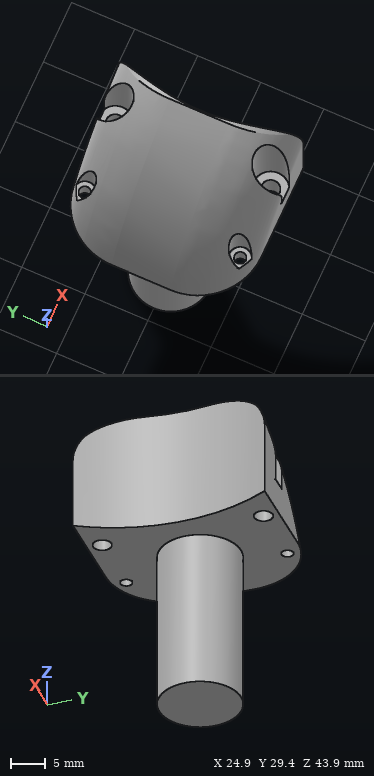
import cadquery as cq
import math

head_length = 24.87
head_width = 29.35
head_height = 18.78
corner_radius = 10.0
hood_radius = 36.85
crest_x = 20.7
half_width = head_width / 2
flat_half_width = half_width - corner_radius

total_height = 43.85
post_diameter = 12.5
post_x = 10.7
post_length = total_height - head_height

back_x = 20.9
back_depth = head_length - back_x
back_radius = (half_width**2 + back_depth**2) / (2 * back_depth)

screw_y = 12.33
screws = [
    {"x": 7.68, "hole": 1.8, "seat": 3.35, "seat_z": 3.0},
    {"x": 18.45, "hole": 2.8, "seat": 5.4, "seat_z": 4.95},
]

chord = math.hypot(crest_x, head_height)
centre_offset = math.sqrt(hood_radius**2 - (chord / 2) ** 2)
arc_x = crest_x / 2 + centre_offset * head_height / chord
arc_z = head_height / 2 - centre_offset * crest_x / chord

turn = math.atan2(-arc_z, -arc_x) - math.atan2(head_height - arc_z, crest_x - arc_x)

crest_foot_x = crest_x + head_height / math.tan(turn)

reach = 3 * head_length
trim_margin = 0.45


def hood_point(angle):
    """Point (y, distance from the arc axis) on the rounded corner of the base section."""
    x = corner_radius * (1 - math.cos(angle))
    y = flat_half_width + corner_radius * math.sin(angle)
    return y, math.hypot(x - arc_x, arc_z)


def side_prism(points):
    """Extrude an XZ outline across the width of the head."""
    return cq.Workplane("XZ").polyline(points).close().extrude(head_width, both=True)


def curved_hood():
    """Turn the base section about the arc axis, then trim at the base and the crest plane."""
    corner_steps = 8
    corner = [hood_point(i * math.pi / 2 / corner_steps) for i in range(corner_steps + 1)]
    left_corner = [(-y, r) for y, r in reversed(corner)]
    section = (
        cq.Workplane(cq.Plane(origin=(arc_x, 0, arc_z), xDir=(0, 1, 0), normal=(1, 0, 0)))
        .moveTo(-half_width, 0)
        .lineTo(*left_corner[0])
        .spline(left_corner[1:], includeCurrent=True)
        .lineTo(*corner[0])
        .spline(corner[1:], includeCurrent=True)
        .lineTo(half_width, 0)
        .close()
    )
    ring = section.revolve(360, (0, 0), (1, 0))
    above_crest_z = head_height + trim_margin
    above_crest_x = crest_x - trim_margin / math.tan(turn)
    trim = side_prism(
        [
            (-trim_margin, 0),
            (crest_foot_x, 0),
            (above_crest_x, above_crest_z),
            (-trim_margin, above_crest_z),
        ]
    )
    return ring.intersect(trim)


def level_hood(hood):
    """Carry the crest face of the curved hood straight on along +X."""
    crest_normal = cq.Vector(math.sin(turn), 0, math.cos(turn))
    crest_face = hood.faces(cq.DirectionMinMaxSelector(crest_normal)).val()
    return cq.Workplane(cq.Solid.extrudeLinear(crest_face, cq.Vector(head_length, 0, 0)))


def trim_back(body):
    """Cut the hollow back and square off its outer corners."""
    return body.cut(back_hollow).cut(beyond_back)


def screw_cutter(screw, y):
    """Through hole with a seat that is open upwards."""
    hole = cq.Workplane("XY").center(screw["x"], y).circle(screw["hole"] / 2).extrude(head_height)
    seat = (
        cq.Workplane("XY", origin=(0, 0, screw["seat_z"]))
        .center(screw["x"], y)
        .circle(screw["seat"] / 2)
        .extrude(head_height)
    )
    return hole.union(seat)


back_hollow = cq.Workplane("XY").center(back_x + back_radius, 0).circle(back_radius).extrude(reach)
beyond_back = cq.Workplane("XY").box(reach, reach, reach).translate((head_length + reach / 2, 0, 0))
post = cq.Workplane("XY").center(post_x, 0).circle(post_diameter / 2).extrude(-post_length)

hood = curved_hood()
result = trim_back(hood).union(trim_back(level_hood(hood)), clean=False)
for screw in screws:
    for side in (-1, 1):
        result = result.cut(screw_cutter(screw, side * screw_y))
result = result.union(post)